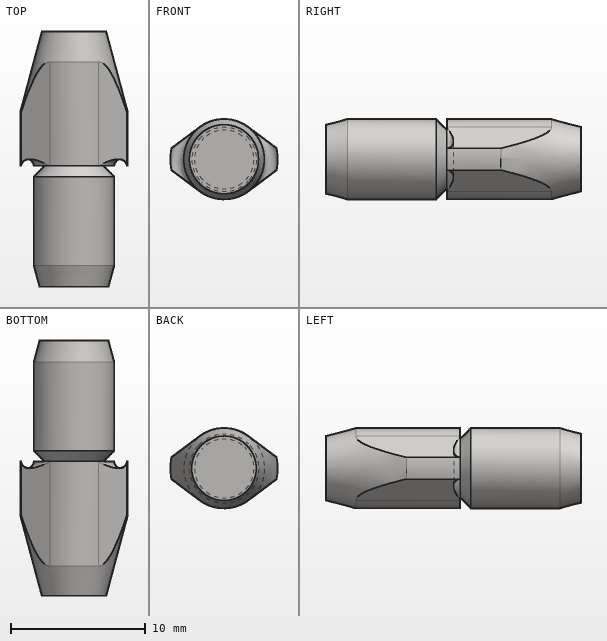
import cadquery as cq
import math

total_length = 19.0
body_radius = 3.0
wing_radius = 4.0
taper_angle = math.radians(15)

tip_length = 1.6
tip_radius = body_radius - tip_length * math.tan(taper_angle)

head_start = 9.0
undercut = 0.8
neck_start = head_start - undercut
neck_radius = body_radius - undercut

head_end_radius = 2.4
wing_taper_start = total_length - (wing_radius - head_end_radius) / math.tan(taper_angle)
head_length = total_length - head_start

flat_lean = math.atan2(3, 4)

groove_radius = (wing_radius - body_radius) / 2
groove_ring_radius = (wing_radius + body_radius) / 2


def revolve_about_y(profile):
    """Spin a closed profile, drawn in XY, a full turn about the Y axis."""
    return profile.revolve(360, (0, 0, 0), (0, 1, 0))


def plain_end():
    """Tapered tip, cylinder and undercut neck."""
    profile = (
        cq.Workplane("XY")
        .moveTo(0, 0)
        .lineTo(tip_radius, 0)
        .lineTo(body_radius, tip_length)
        .lineTo(body_radius, neck_start)
        .lineTo(neck_radius, head_start)
        .lineTo(0, head_start)
        .close()
    )
    return revolve_about_y(profile)


def head_envelope():
    """Round head at the wing radius, tapering to the far end."""
    profile = (
        cq.Workplane("XY")
        .moveTo(0, head_start)
        .lineTo(wing_radius, head_start)
        .lineTo(wing_radius, wing_taper_start)
        .lineTo(head_end_radius, total_length)
        .lineTo(0, total_length)
        .close()
    )
    return revolve_about_y(profile)


def flatted_prism():
    """Body-radius arcs above and below, with tangent flats meeting in a point on each side."""
    tangent_x = body_radius * math.sin(flat_lean)
    tangent_z = body_radius * math.cos(flat_lean)
    point_x = body_radius / math.sin(flat_lean)
    return (
        cq.Workplane("XZ", origin=(0, total_length, 0))
        .moveTo(-tangent_x, tangent_z)
        .threePointArc((0, body_radius), (tangent_x, tangent_z))
        .lineTo(point_x, 0)
        .lineTo(tangent_x, -tangent_z)
        .threePointArc((0, -body_radius), (-tangent_x, -tangent_z))
        .lineTo(-point_x, 0)
        .close()
        .extrude(head_length)
    )


def wing_groove():
    """Ring whose upper half hollows the underside of the wings."""
    profile = cq.Workplane("XY").center(groove_ring_radius, head_start).circle(groove_radius)
    return profile.revolve(360, (-groove_ring_radius, 0, 0), (-groove_ring_radius, 1, 0))


head = head_envelope().intersect(flatted_prism()).cut(wing_groove())
result = plain_end().union(head)